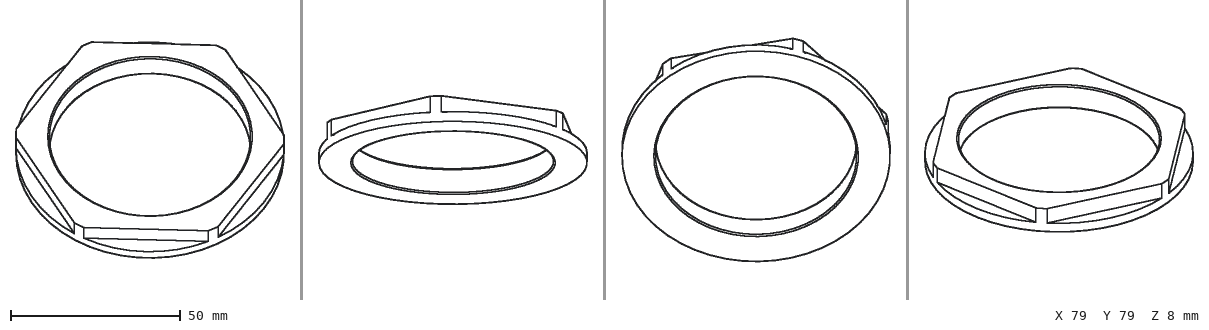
import cadquery as cq

flange_diameter = 79.0
total_height = 8.0
flange_height = 3.0
across_flats = 70.0
bore_diameter = 59.25
bore_chamfer = 0.5

hex_height = total_height - flange_height
across_corners = 2 * across_flats / 3**0.5


def make_hex_head():
    """Hexagon with flats facing +X and -X, its corners rounded to the flange."""
    hexagon = (
        cq.Workplane("XY")
        .workplane(offset=flange_height)
        .transformed(rotate=(0, 0, 90))
        .polygon(6, across_corners)
        .extrude(hex_height)
    )
    envelope = cq.Workplane("XY").circle(flange_diameter / 2).extrude(total_height)
    return hexagon.intersect(envelope)


flange = cq.Workplane("XY").circle(flange_diameter / 2).extrude(flange_height)
blank = flange.union(make_hex_head())

bored = blank.cut(cq.Workplane("XY").circle(bore_diameter / 2).extrude(total_height))
bore_edges = cq.selectors.RadiusNthSelector(0)
result = bored.edges("%CIRCLE").edges(bore_edges).chamfer(bore_chamfer)